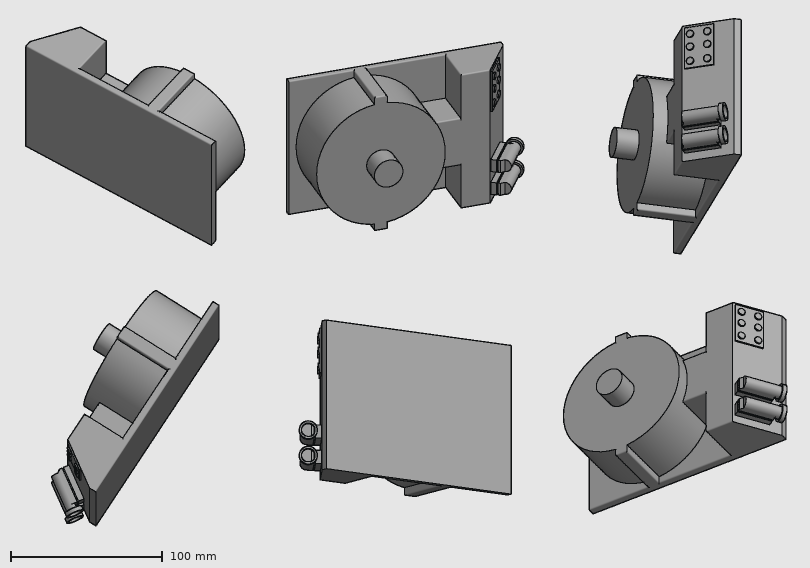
import cadquery as cq
import math

plate_length = 150.0
plate_height = 100.0
plate_thickness = 5.0
half_height = plate_height / 2

block_length = 40.4
block_depth = 35.0
slope_run = 20.0
slope_rise = block_depth - plate_thickness
slope_length = math.hypot(slope_run, slope_rise)

drum_x = 100.0
drum_diameter = 90.0
drum_back = 45.0
shaft_diameter = 20.0
shaft_length = 15.0

rib_width = 9.0
web_height = 35.0
edge_radius = 1.0

edge_margin = 2.0
strip_length = 20.0
strip_height = 30.0
strip_thickness = 1.0
terminal_diameter = 5.0
terminal_length = 1.0
terminal_end_margin = 4.0
terminal_drops = (5.25, 14.65, 25.2)

gland_levels = (-22.5, -39.5)
gland_width = 9.0
gland_radius = gland_width / 2
foot_length = 25.0
foot_height = 4.0
neck_height = 0.9
neck_inset = 0.5
axis_height = 9.0
tube_flat_height = axis_height - gland_radius / 2
tube_end_setback = 2.0
collar_start = 3.14
collar_diameter = 12.0
collar_thickness = 3.0
mouth_depth = 2.8

mount_end = slope_length - edge_margin
foot_start = mount_end - foot_length
tube_end = mount_end - tube_end_setback


def slope_plane(level):
    """Plane whose X runs up the slope, Y points out of the sloped face and Z is the part's Z."""
    return cq.Plane(
        origin=(0, plate_thickness, level),
        xDir=(slope_run, slope_rise, 0),
        normal=(0, 0, 1),
    )


def slope_box(level, start, end, bottom, top, height):
    """Box on the sloped face, centred on a level along Z."""
    return (
        cq.Workplane(slope_plane(level))
        .center((start + end) / 2, (bottom + top) / 2)
        .rect(end - start, top - bottom)
        .extrude(height / 2, both=True)
    )


def slope_rod(level, axis_h, start, end, diameter):
    """Cylinder parallel to the slope."""
    base = slope_plane(level)
    section = cq.Plane(
        origin=base.toWorldCoords((start, axis_h, 0)),
        xDir=-base.yDir,
        normal=base.xDir,
    )
    return cq.Workplane(section).circle(diameter / 2).extrude(end - start)


def drum_cylinder(diameter, start, end):
    """Cylinder on the drum axis between two Y positions."""
    section = cq.Plane(origin=(drum_x, start, 0), xDir=(-1, 0, 0), normal=(0, 1, 0))
    return cq.Workplane(section).circle(diameter / 2).extrude(end - start)


def make_frame():
    """Plate, block and rib as one extruded outline with rounded end edges."""
    rib_left = drum_x - rib_width / 2
    rib_right = drum_x + rib_width / 2
    outline = [
        (0, 0),
        (plate_length, 0),
        (plate_length, plate_thickness),
        (rib_right, plate_thickness),
        (rib_right, drum_back),
        (rib_left, drum_back),
        (rib_left, plate_thickness),
        (block_length, plate_thickness),
        (block_length, block_depth),
        (slope_run, block_depth),
        (0, plate_thickness),
    ]
    frame = cq.Workplane("XY").polyline(outline).close().extrude(half_height, both=True)

    back_area = cq.selectors.BoxSelector(
        (slope_run / 2 + edge_radius, plate_thickness / 2, -plate_height),
        (plate_length - edge_radius / 2, drum_back + edge_radius, plate_height),
    )
    end_faces = frame.faces("<Z or >Z")
    back_edges = end_faces.edges(back_area)
    front_edge = frame.faces(">Z").edges("<Y")
    return frame.newObject(back_edges.vals() + front_edge.vals()).fillet(edge_radius)


def make_web():
    """Web carrying the block's depth into the drum."""
    web = (
        cq.Workplane("XY")
        .box(drum_x - slope_run, block_depth, web_height, centered=(False, False, True))
        .edges(">Y and |X")
        .fillet(edge_radius)
    )
    return web.translate((slope_run, 0, 0))


def make_terminal_strip():
    """Raised strip with two columns of round terminals."""
    strip_top = half_height - edge_margin
    strip_start = mount_end - strip_length
    strip_middle = strip_top - strip_height / 2
    strip = slope_box(strip_middle, strip_start, mount_end, 0, strip_thickness, strip_height)
    for position in (strip_start + terminal_end_margin, mount_end - terminal_end_margin):
        for drop in terminal_drops:
            base = slope_plane(strip_top - drop)
            foot = cq.Plane(origin=base.toWorldCoords((position, 0, 0)), xDir=base.xDir, normal=base.yDir)
            terminal = (
                cq.Workplane(foot)
                .circle(terminal_diameter / 2)
                .extrude(strip_thickness + terminal_length)
            )
            strip = strip.union(terminal)
    return strip


def make_housing():
    """Frame, web, drum, shaft and terminal strip as one body."""
    return (
        make_frame()
        .union(make_web())
        .union(drum_cylinder(drum_diameter, plate_thickness, drum_back))
        .union(drum_cylinder(shaft_diameter, drum_back, drum_back + shaft_length))
        .union(make_terminal_strip())
    )


def make_gland(level):
    """Cable gland: foot, narrow neck, bevelled saddle and flattened tube with an open collar."""
    saddle_bottom = foot_height + neck_height
    foot = slope_box(level, foot_start, mount_end, 0, foot_height, gland_width)
    neck = slope_box(
        level,
        foot_start + neck_inset,
        mount_end - neck_inset,
        foot_height,
        saddle_bottom,
        gland_width - 2 * neck_inset,
    )
    saddle = (
        cq.Workplane(slope_plane(level))
        .polyline(
            [
                (foot_start, saddle_bottom),
                (mount_end, saddle_bottom),
                (mount_end, tube_flat_height),
                (tube_end, axis_height),
                (foot_start, axis_height),
            ]
        )
        .close()
        .extrude(gland_width / 2, both=True)
    )
    tube_start = collar_start + mouth_depth
    tube = slope_rod(level, axis_height, tube_start, tube_end, gland_width)
    flat = slope_box(level, tube_start, tube_end, 0, tube_flat_height, gland_width)
    collar = slope_rod(level, axis_height, collar_start, collar_start + collar_thickness, collar_diameter)
    mouth = slope_rod(level, axis_height, collar_start, collar_start + collar_thickness, gland_width)
    return collar.cut(mouth).union(tube.cut(flat)).union(saddle).union(neck).union(foot)


housing = make_housing()
glands = [make_gland(level) for level in gland_levels]

result = cq.Compound.makeCompound([housing.val(), *[gland.val() for gland in glands]])